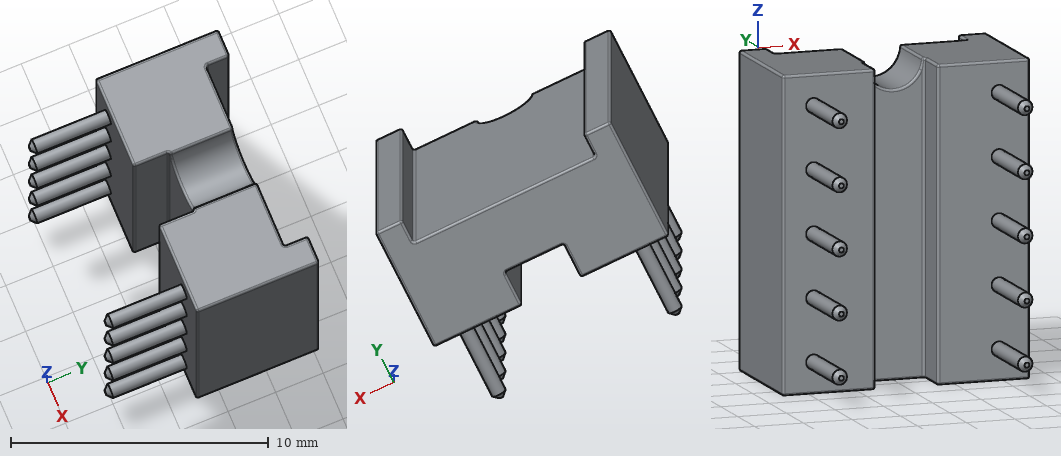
import cadquery as cq

PITCH = 2.54
PINS_PER_ROW = 5
ROW_SPACING = 3 * PITCH
BODY_WIDTH = 4 * PITCH
BODY_HEIGHT = PINS_PER_ROW * PITCH
BODY_DEPTH = 5.16
EDGE_RADIUS = 0.1

RIM_THICKNESS = 1.15
RIM_HEIGHT = 1.0

CHANNEL_WIDTH = PITCH
CHANNEL_DEPTH = 1.5
NOTCH_RADIUS = CHANNEL_WIDTH / 2 - EDGE_RADIUS

PIN_DIAMETER = 0.6
PIN_LENGTH = 3.3
PIN_ROOT_LENGTH = 0.1
PIN_TIP_LENGTH = 0.2
PIN_TIP_DIAMETER = 0.2


def make_body():
    """Extruded H-shaped section with the index notch, all edges rounded."""
    half_width = BODY_WIDTH / 2
    half_channel = CHANNEL_WIDTH / 2
    half_recess = half_width - RIM_THICKNESS
    back_face = BODY_DEPTH - RIM_HEIGHT
    section = [
        (-half_width, 0),
        (-half_channel, 0),
        (-half_channel, CHANNEL_DEPTH),
        (half_channel, CHANNEL_DEPTH),
        (half_channel, 0),
        (half_width, 0),
        (half_width, BODY_DEPTH),
        (half_recess, BODY_DEPTH),
        (half_recess, back_face),
        (-half_recess, back_face),
        (-half_recess, BODY_DEPTH),
        (-half_width, BODY_DEPTH),
    ]
    block = cq.Workplane("XY").polyline(section).close().extrude(BODY_HEIGHT)
    notch = (
        cq.Workplane("XZ", origin=(0, 0, BODY_HEIGHT))
        .circle(NOTCH_RADIUS)
        .extrude(-BODY_DEPTH)
    )
    notch_zone = cq.selectors.BoxSelector(
        (-half_channel, 0, BODY_HEIGHT - half_channel),
        (half_channel, BODY_DEPTH, BODY_HEIGHT),
    )
    rounded_block = block.edges().fillet(EDGE_RADIUS)
    return rounded_block.cut(notch).edges(notch_zone).fillet(EDGE_RADIUS)


def make_pin():
    """Round pin along -Y, with a conical tip ending in a small flat."""
    shank_length = PIN_LENGTH - PIN_TIP_LENGTH
    half_profile = [
        (0, PIN_ROOT_LENGTH),
        (PIN_DIAMETER / 2, PIN_ROOT_LENGTH),
        (PIN_DIAMETER / 2, -shank_length),
        (PIN_TIP_DIAMETER / 2, -PIN_LENGTH),
        (0, -PIN_LENGTH),
    ]
    return cq.Workplane("XY").polyline(half_profile).close().revolve(360, (0, 0), (0, 1))


def make_socket():
    """Body with a row of pins along each side."""
    socket = make_body()
    pin = make_pin()
    for x in (-ROW_SPACING / 2, ROW_SPACING / 2):
        for row in range(PINS_PER_ROW):
            z = (row + 0.5) * PITCH
            socket = socket.union(pin.translate((x, 0, z)))
    return socket


result = make_socket()